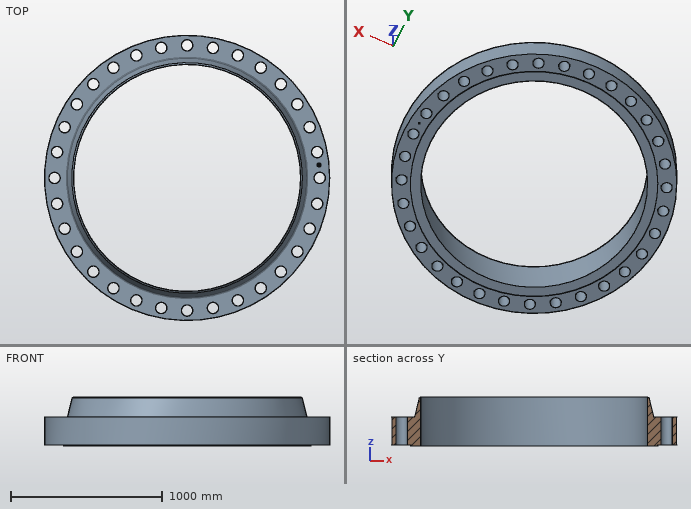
import cadquery as cq
import math


flange_diameter = 1885.95
flange_thickness = 186.0

face_diameter = 1635.0
face_height = 6.35

overall_height = 325.37
neck_base_diameter = 1585.0
neck_top_diameter = 1524.0
neck_wall = 12.7
neck_fillet_radius = 6.0

land_width = 1.6
bevel_angle = 37.5

bolt_count = 32
bolt_circle_diameter = 1752.6
bolt_hole_diameter = 73.0

small_hole_diameter = 11.0
counterbore_diameter = 27.0
counterbore_depth = 20.0

plate_bottom = face_height
plate_top = plate_bottom + flange_thickness
bore_radius = neck_top_diameter / 2 - neck_wall
land_radius = bore_radius + land_width
bevel_height = (neck_wall - land_width) * math.tan(math.radians(bevel_angle))
neck_shoulder = overall_height - bevel_height
bolt_circle_radius = bolt_circle_diameter / 2
small_hole_angle = 360.0 / bolt_count / 2


def neck_root_fillet():
    """Return the start, middle and end points of the fillet arc between plate and neck, as (radius, z)."""
    base_radius = neck_base_diameter / 2
    lean = math.atan2(base_radius - neck_top_diameter / 2, neck_shoulder - plate_top)
    turn = math.pi / 2 - lean
    tangent_length = neck_fillet_radius * math.tan(turn / 2)

    center_radius = base_radius + tangent_length
    center_z = plate_top + neck_fillet_radius
    start = (center_radius, plate_top)
    middle = (
        center_radius - neck_fillet_radius * math.sin(turn / 2),
        center_z - neck_fillet_radius * math.cos(turn / 2),
    )
    end = (
        base_radius - tangent_length * math.sin(lean),
        plate_top + tangent_length * math.cos(lean),
    )
    return start, middle, end


def make_body():
    """Revolve the half section of the plate, raised face and neck about Z."""
    fillet_start, fillet_middle, fillet_end = neck_root_fillet()
    section = (
        cq.Workplane("XZ")
        .moveTo(bore_radius, 0)
        .lineTo(face_diameter / 2, 0)
        .lineTo(face_diameter / 2, plate_bottom)
        .lineTo(flange_diameter / 2, plate_bottom)
        .lineTo(flange_diameter / 2, plate_top)
        .lineTo(*fillet_start)
        .threePointArc(fillet_middle, fillet_end)
        .lineTo(neck_top_diameter / 2, neck_shoulder)
        .lineTo(land_radius, overall_height)
        .lineTo(bore_radius, overall_height)
        .close()
    )
    return section.revolve(360, (0, 0, 0), (0, 1, 0))


def cut_bolt_holes(body):
    """Cut the evenly spaced bolt holes through the plate."""
    return (
        body.copyWorkplane(cq.Workplane("XY", origin=(0, 0, plate_top)))
        .polarArray(bolt_circle_radius, 0, 360, bolt_count)
        .hole(bolt_hole_diameter, flange_thickness)
    )


def cut_small_hole(body):
    """Cut the small counterbored hole down through the plate."""
    return (
        body.copyWorkplane(cq.Workplane("XY", origin=(0, 0, plate_top)))
        .polarArray(bolt_circle_radius, small_hole_angle, 360, 1)
        .cboreHole(small_hole_diameter, counterbore_diameter, counterbore_depth, flange_thickness)
    )


result = cut_small_hole(cut_bolt_holes(make_body()))